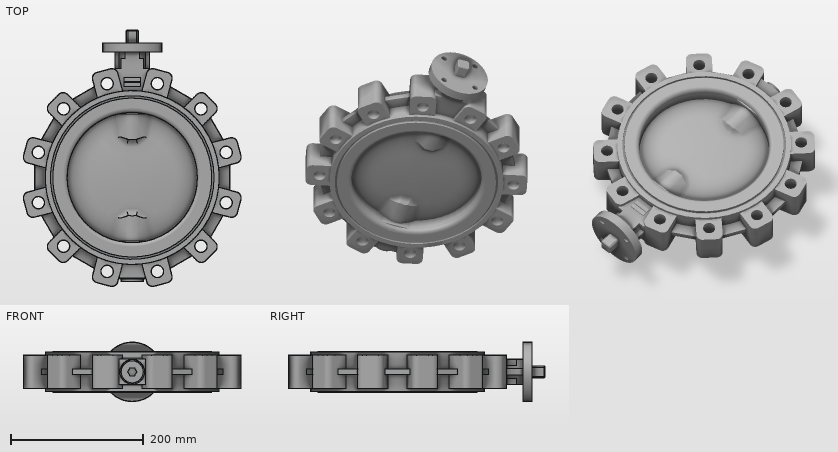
import cadquery as cq
import math


overall_length = 387.5

body_radius = 131.5
seat_radius = 120.0
seat_half_height = 31.0
seat_rise = 0.95
body_half_height = seat_half_height - seat_rise
groove_outer_radius = 123.5
groove_depth = 4.0
bore_radius = 98.5
bore_round = 6.2
stem_flat_distance = 96.0

lug_count = 12
lug_pitch = 360 / lug_count
lug_tilt = math.radians(lug_pitch / 2)
lug_reach = 167.5
lug_root = 116.3
lug_width = 39.5
lug_height = 50.8
lug_corner = 9.3
bolt_circle_radius = 147.0
bolt_hole_diameter = 18.2
web_apothem = 147.7
web_thickness = 8.5

block_width = 52.7
block_height = 38.8
neck_block_end = 165.0
plug_block_end = -151.5

neck_end = 189.5
neck_shoulder = 180.0
label_plate_width = 33.7
label_plate_inner_height = 9.5
neck_crown_half_width = 11.0
neck_slope_half_width = 19.8
neck_fin_half_thickness = 5.0
flange_radius = 45.0
flange_thickness = 14.0
flange_hole_count = 4
flange_hole_start_angle = 45
flange_hole_circle_radius = 35.0
flange_hole_diameter = 9.0
nameplate_width = 25.2
nameplate_length = 6.2
nameplate_height = 1.5
nameplate_centers = (140.7, 148.5)

stem_square = 18.2
stem_edge_chamfer = 2.5
stem_tip_chamfer = 1.0

lug_extent = (
    (lug_reach - lug_corner) * math.cos(lug_tilt)
    + (lug_width / 2 - lug_corner) * math.sin(lug_tilt)
    + lug_corner
)
stem_end = overall_length - lug_extent

plug_collar_radius = 18.5
plug_collar_length = 2.0
plug_head_radius = 16.5
plug_end = -157.5
socket_sides = 6
socket_diameter = 14.0
socket_depth = 6.0

disc_center_half_height = 12.8
disc_rim_half_height = 5.0
disc_edge_radius = bore_radius + bore_round
hub_crown_half_width = 9.0
hub_crown_edge_height = 17.0
hub_crown_height = 19.0
hub_slope = 0.56
hub_nose_start = 44.5
hub_nose_half_width = 10.5
hub_cheek_start = 66.0
hub_cheek_half_width = 37.0
hub_nose_taper = 35
hub_foot_fillet = 7.8


def cylinder_along_y(radius, y_start, y_end):
    """Round bar on the stem axis between two Y positions."""
    start_plane = cq.Plane(origin=(0, y_start, 0), xDir=(1, 0, 0), normal=(0, 1, 0))
    return cq.Workplane(start_plane).circle(radius).extrude(y_end - y_start)


def block(width, y_start, y_end, z_start, z_end):
    """Box centred on X = 0 between two Y and two Z positions."""
    box = cq.Workplane("XY").box(width, y_end - y_start, z_end - z_start, centered=(True, False, False))
    return box.translate((0, y_start, z_start))


def make_body_ring():
    ring = cq.Workplane("XY").circle(body_radius).extrude(body_half_height, both=True)
    seat = cq.Workplane("XY").circle(seat_radius).extrude(seat_half_height, both=True)
    ring = ring.union(seat)
    for side in (1, -1):
        floor = cq.Workplane("XY").workplane(offset=side * (body_half_height - groove_depth))
        groove = floor.circle(groove_outer_radius).circle(seat_radius).extrude(side * groove_depth)
        ring = ring.cut(groove)
    bore = cq.Workplane("XY").circle(bore_radius).extrude(seat_half_height, both=True)
    ring = ring.cut(bore)
    rim_edges = cq.selectors.RadiusNthSelector(0)
    return ring.faces("|Z").edges(rim_edges).fillet(bore_round)


def make_stem_flats():
    """Flat pads on the bore wall facing the two disc hubs."""
    half_height = seat_half_height - bore_round
    liner = cq.Workplane("XY").circle(bore_radius + bore_round).extrude(half_height, both=True)
    middle = block(4 * bore_radius, -stem_flat_distance, stem_flat_distance, -half_height, half_height)
    return liner.cut(middle)


def make_lug():
    lug = cq.Workplane("XY").box(lug_reach - lug_root, lug_width, lug_height, centered=(False, True, True))
    lug = lug.translate((lug_root, 0, 0))
    return lug.edges("|Z and >X").fillet(lug_corner)


def make_bolt_hole():
    hole = cq.Workplane("XY").circle(bolt_hole_diameter / 2).extrude(lug_height, both=True)
    return hole.translate((bolt_circle_radius, 0, 0))


def make_web():
    """Thin twelve-sided rib at mid height."""
    corner_diameter = 2 * web_apothem / math.cos(lug_tilt)
    web = cq.Workplane("XY").polygon(lug_count, corner_diameter).circle(lug_root)
    web = web.extrude(web_thickness / 2, both=True)
    return web.rotate((0, 0, 0), (0, 0, 1), lug_pitch / 2)


def make_neck():
    half_block = block_height / 2
    fin_half_width = block_width / 2
    start_plane = cq.Plane(origin=(0, lug_root, 0), xDir=(1, 0, 0), normal=(0, 1, 0))
    quarter = [
        (neck_crown_half_width, half_block),
        (neck_slope_half_width, neck_fin_half_thickness),
        (fin_half_width, neck_fin_half_thickness),
    ]
    right_side = quarter + [(x, -z) for x, z in reversed(quarter)]
    left_side = [(-x, -z) for x, z in right_side]
    neck = cq.Workplane(start_plane).polyline(right_side + left_side).close().extrude(neck_end - lug_root)
    neck = neck.union(block(block_width, lug_root, neck_block_end, -half_block, half_block))
    for z_start, z_end in ((label_plate_inner_height, half_block), (-half_block, -label_plate_inner_height)):
        neck = neck.union(block(label_plate_width, lug_root, neck_shoulder, z_start, z_end))
    for center in nameplate_centers:
        y_start = center - nameplate_length / 2
        y_end = center + nameplate_length / 2
        neck = neck.union(block(nameplate_width, y_start, y_end, half_block, half_block + nameplate_height))
    return neck


def make_flange():
    flange = cylinder_along_y(flange_radius, neck_end, neck_end + flange_thickness)
    holes = flange.faces(">Y").workplane(origin=(0, 0, 0))
    holes = holes.polarArray(flange_hole_circle_radius, flange_hole_start_angle, 360, flange_hole_count)
    return holes.hole(flange_hole_diameter)


def make_stem():
    half = stem_square / 2
    stem = block(stem_square, neck_end, stem_end, -half, half)
    return stem.edges("|Y").chamfer(stem_edge_chamfer).faces(">Y").chamfer(stem_tip_chamfer)


def make_plug():
    half_block = block_height / 2
    plug = block(block_width, plug_block_end, -lug_root, -half_block, half_block)
    plug = plug.union(cylinder_along_y(plug_collar_radius, plug_block_end - plug_collar_length, -lug_root))
    plug = plug.union(cylinder_along_y(plug_head_radius, plug_end, -lug_root))
    end_plane = cq.Plane(origin=(0, plug_end, 0), xDir=(1, 0, 0), normal=(0, -1, 0))
    socket = cq.Workplane(end_plane).polygon(socket_sides, socket_diameter).extrude(-socket_depth)
    return plug.cut(socket)


def make_lens():
    """Lens-shaped disc body, reaching slightly into the bore wall."""
    dome_rise = disc_center_half_height - disc_rim_half_height
    dome_radius = (bore_radius**2 + dome_rise**2) / (2 * dome_rise)

    def surface_height(radius):
        return disc_center_half_height - dome_radius + math.sqrt(dome_radius**2 - radius**2)

    mid_radius = disc_edge_radius / 2
    mid_height = surface_height(mid_radius)
    edge_height = surface_height(disc_edge_radius)
    profile = (
        cq.Workplane("XZ")
        .moveTo(0, -disc_center_half_height)
        .threePointArc((mid_radius, -mid_height), (disc_edge_radius, -edge_height))
        .lineTo(disc_edge_radius, edge_height)
        .threePointArc((mid_radius, mid_height), (0, disc_center_half_height))
        .close()
    )
    return profile.revolve(360, (0, 0, 0), (0, 1, 0))


def make_hub():
    """Upper half of the +Y hub: a crowned ridge along the stem with a three-sided sloping nose."""
    foot_half_width = hub_crown_half_width + hub_crown_edge_height / hub_slope
    ridge = (
        cq.Workplane("XZ", origin=(0, disc_edge_radius, 0))
        .moveTo(-foot_half_width, 0)
        .lineTo(-hub_crown_half_width, hub_crown_edge_height)
        .threePointArc((0, hub_crown_height), (hub_crown_half_width, hub_crown_edge_height))
        .lineTo(foot_half_width, 0)
        .close()
        .extrude(disc_edge_radius)
    )
    right_side = [
        (hub_nose_half_width, hub_nose_start),
        (hub_cheek_half_width, hub_cheek_start),
        (hub_cheek_half_width, body_radius),
    ]
    left_side = [(-x, y) for x, y in reversed(right_side)]
    nose = cq.Workplane("XY").polyline(right_side + left_side).close()
    nose = nose.extrude(hub_crown_height, taper=hub_nose_taper)
    lens_edge = cq.Workplane("XY").circle(disc_edge_radius).extrude(hub_crown_height)
    return ridge.intersect(nose).intersect(lens_edge)


def make_disc():
    """Disc with two hubs on each face, filleted where the hubs meet the lens surface."""
    disc = make_lens()
    for hub in (make_hub(), make_hub().mirror("XZ")):
        disc = disc.union(hub).union(hub.mirror("XY"))
    foot_edges = []
    for side in (1, -1):
        for face in (1, -1):
            near = (-hub_cheek_half_width, side * hub_nose_start, face * disc_rim_half_height)
            far = (hub_cheek_half_width, side * bore_radius, face * disc_center_half_height)
            foot_edges += disc.edges(cq.selectors.BoxSelector(near, far)).vals()
    return disc.newObject(foot_edges).fillet(hub_foot_fillet)


result = make_body_ring().union(make_web())
lug_angles = [lug_pitch * (index + 0.5) for index in range(lug_count)]
for angle in lug_angles:
    result = result.union(make_lug().rotate((0, 0, 0), (0, 0, 1), angle))
for angle in lug_angles:
    result = result.cut(make_bolt_hole().rotate((0, 0, 0), (0, 0, 1), angle))
for part in (make_stem_flats(), make_neck(), make_flange(), make_stem(), make_plug(), make_disc()):
    result = result.union(part)